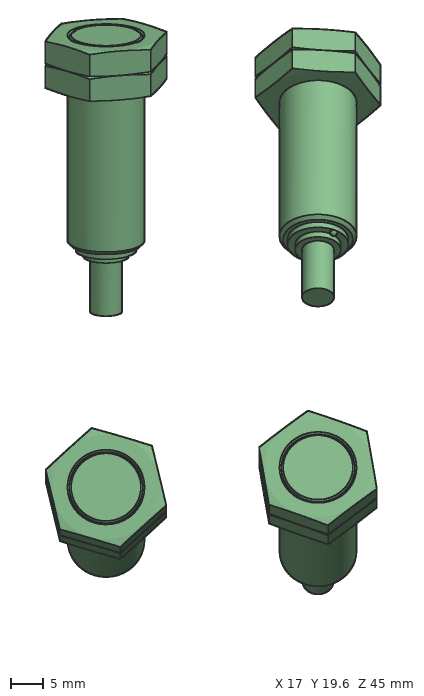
import cadquery as cq
import math

TOTAL_HEIGHT = 45.0

CABLE_DIAMETER = 5.0
CABLE_LENGTH = 9.0
SLEEVE_DIAMETER = 7.1
COLLAR_DIAMETER = 9.5
STEP_HEIGHT = 1.0
BARREL_DIAMETER = 12.0
BARREL_CHAMFER = 0.6

LAMP_RADIUS = 0.6
LAMP_OFFSET_Y = 4.15

NUT_COUNT = 2
NUT_HEIGHT = 4.0
NUT_ACROSS_FLATS = 17.0
NUT_FACE_DIAMETER = 16.75
NUT_CORNER_DROP = 0.22
NUT_BORE_DIAMETER = 10.95

COLLAR_BASE = CABLE_LENGTH + STEP_HEIGHT
BARREL_BASE = COLLAR_BASE + STEP_HEIGHT
NUT_ACROSS_CORNERS = NUT_ACROSS_FLATS / math.cos(math.radians(30))
COUNTERSINK_DEPTH = (BARREL_DIAMETER - NUT_BORE_DIAMETER) / 2


def cylinder(diameter, base, height):
    """Vertical cylinder on the Z axis."""
    return cq.Workplane("XY").workplane(offset=base).circle(diameter / 2).extrude(height)


def make_sensor():
    """Chamfered barrel with collar, sleeve, cable and lamp in one solid."""
    barrel = cylinder(BARREL_DIAMETER, BARREL_BASE, TOTAL_HEIGHT - BARREL_BASE)
    barrel = barrel.faces("<Z or >Z").chamfer(BARREL_CHAMFER)
    collar = cylinder(COLLAR_DIAMETER, COLLAR_BASE, STEP_HEIGHT)
    sleeve = cylinder(SLEEVE_DIAMETER, CABLE_LENGTH, STEP_HEIGHT)
    cable = cylinder(CABLE_DIAMETER, 0, CABLE_LENGTH)
    lamp = cq.Workplane("XY").sphere(LAMP_RADIUS).translate((0, LAMP_OFFSET_Y, COLLAR_BASE))
    return barrel.union(collar).union(sleeve).union(cable).union(lamp)


def make_nut_blank():
    """Hexagon with corners on the Y axis, both faces sloping away at the corners."""
    hexagon = (
        cq.Workplane("XY")
        .polygon(6, NUT_ACROSS_CORNERS)
        .extrude(NUT_HEIGHT)
        .rotate((0, 0, 0), (0, 0, 1), 30)
    )
    face_radius = NUT_FACE_DIAMETER / 2
    corner_radius = NUT_ACROSS_CORNERS / 2
    envelope = (
        cq.Workplane("XZ")
        .polyline([
            (0, 0),
            (face_radius, 0),
            (corner_radius, NUT_CORNER_DROP),
            (corner_radius, NUT_HEIGHT - NUT_CORNER_DROP),
            (face_radius, NUT_HEIGHT),
            (0, NUT_HEIGHT),
        ])
        .close()
        .revolve(360, (0, 0, 0), (0, 1, 0))
    )
    return hexagon.intersect(envelope)


def make_nut(base, sensor):
    """Nut with a countersunk bore, fitted around the barrel and its top chamfer."""
    bore = cylinder(NUT_BORE_DIAMETER, 0, NUT_HEIGHT)
    countersink = cq.Workplane(
        cq.Solid.makeCone(
            NUT_BORE_DIAMETER / 2,
            BARREL_DIAMETER / 2,
            COUNTERSINK_DEPTH,
            pnt=cq.Vector(0, 0, NUT_HEIGHT - COUNTERSINK_DEPTH),
        )
    )
    nut = make_nut_blank().cut(bore).cut(countersink)
    return nut.translate((0, 0, base)).cut(sensor)


sensor = make_sensor()
nuts = []
for index in range(NUT_COUNT):
    nut_base = TOTAL_HEIGHT - (index + 1) * NUT_HEIGHT
    nuts.append(make_nut(nut_base, sensor).solids().val())

result = cq.Compound.makeCompound([sensor.solids().val(), *nuts])